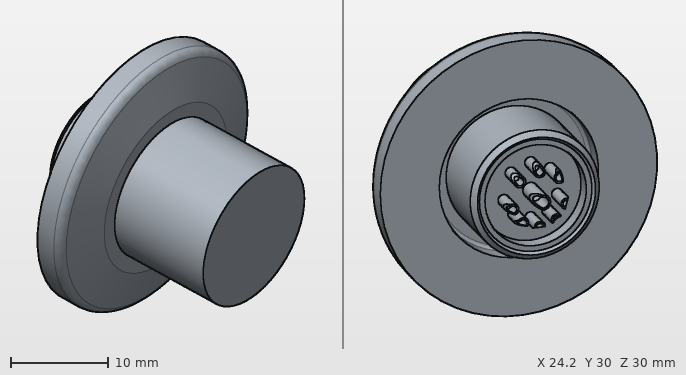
import cadquery as cq
import math


flange_radius = 15.0
rim_thickness = 3.0
rim_fillet = 1.05
taper_angle = 15.0
taper_end_radius = 9.65

recess_radius = 8.6
recess_depth = 2.6
recess_fillet = 0.4

barrel_radius = 7.98
barrel_end = 16.4

shell_radius = 7.0
shell_front = -5.7
shell_chamfer = 0.6
lip_bevel = 0.3
lip_depth = 0.3
well_radius = 5.5
well_floor = -3.7

contact_circle_radius = 3.0
contact_angles = [45, 90, 135, 195, 232.5, 270, 307.5, 345]
contact_radius = 0.6
contact_cup_radius = 0.4
contact_front = -6.78
center_radius = 0.8
center_cup_radius = 0.6
center_front = -7.8
cup_slant = 22.0
cup_depth_ratio = 4.0
drill_point_angle = 118.0


def disc(radius, start, end):
    """Solid cylinder on the X axis from start to end."""
    return cq.Workplane("YZ", origin=(start, 0, 0)).circle(radius).extrude(end - start)


def revolve_profile(profile):
    """Turn an (x, radius) outline around the X axis."""
    return profile.close().revolve(360, (0, 0, 0), (1, 0, 0))


def make_flange():
    taper_end = rim_thickness + (flange_radius - taper_end_radius) * math.tan(math.radians(taper_angle))
    blank = revolve_profile(
        cq.Workplane("XY")
        .lineTo(0, flange_radius)
        .lineTo(rim_thickness, flange_radius)
        .lineTo(taper_end, taper_end_radius)
        .lineTo(taper_end, 0)
    )
    rim_edges = blank.edges(cq.selectors.RadiusNthSelector(-1))
    return rim_edges.edges(">X").fillet(rim_fillet)


def make_recess():
    return disc(recess_radius, 0, recess_depth).faces(">X").edges().fillet(recess_fillet)


def make_shell():
    return disc(shell_radius, shell_front, recess_depth).faces("<X").chamfer(shell_chamfer)


def make_well():
    """Bore for the contacts, with a bevelled step just inside the front lip."""
    lip_radius = shell_radius - shell_chamfer
    return revolve_profile(
        cq.Workplane("XY")
        .moveTo(shell_front, 0)
        .lineTo(shell_front, lip_radius)
        .lineTo(shell_front + lip_depth, lip_radius - lip_bevel)
        .lineTo(shell_front + lip_depth, well_radius)
        .lineTo(well_floor, well_radius)
        .lineTo(well_floor, 0)
    )


def make_contact(radius, cup_radius, front):
    """Contact on the X axis whose drilled cup is cut open toward +Y by a slanted plane."""
    cup_end = front + cup_depth_ratio * cup_radius
    cup_tip = cup_end + cup_radius / math.tan(math.radians(drill_point_angle / 2))
    cup = revolve_profile(
        cq.Workplane("XY")
        .moveTo(front, 0)
        .lineTo(front, cup_radius)
        .lineTo(cup_end, cup_radius)
        .lineTo(cup_tip, 0)
    )
    cut_height = 2 * radius
    cut_length = cut_height / math.tan(math.radians(cup_slant))
    slant_cut = (
        cq.Workplane("XY")
        .moveTo(front, 0)
        .lineTo(front + cut_length, cut_height)
        .lineTo(front, cut_height)
        .close()
        .extrude(2 * radius, both=True)
    )
    return disc(radius, front, well_floor).cut(cup).cut(slant_cut)


body = make_flange().union(disc(barrel_radius, rim_thickness, barrel_end))
body = body.cut(make_recess()).union(make_shell()).cut(make_well())

body = body.union(make_contact(center_radius, center_cup_radius, center_front))
outer_contact = make_contact(contact_radius, contact_cup_radius, contact_front)
outer_contact = outer_contact.translate((0, contact_circle_radius, 0))
for angle in contact_angles:
    body = body.union(outer_contact.rotate((0, 0, 0), (1, 0, 0), angle))

result = body